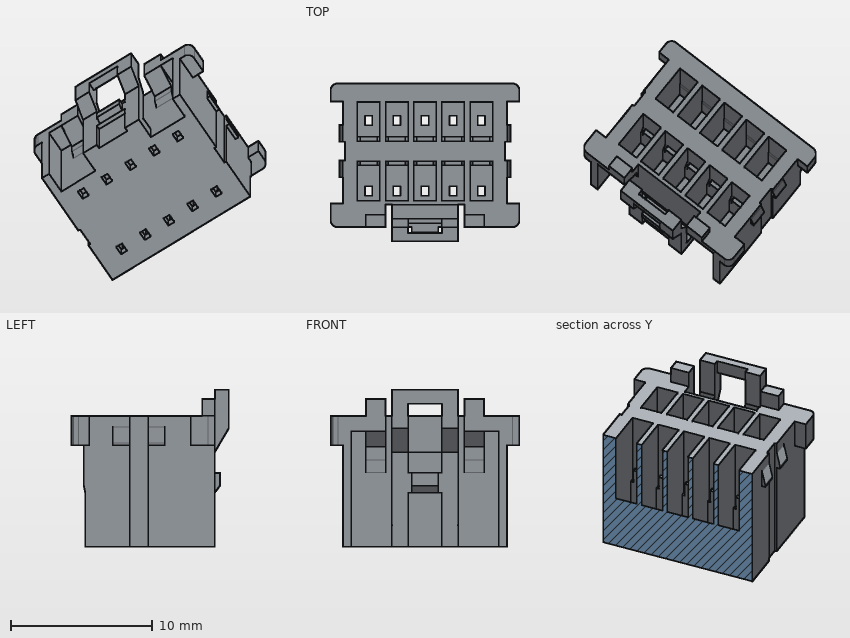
import cadquery as cq


BODY_WIDTH = 11.65
BODY_FRONT = 1.6
BODY_REAR = 9.3
BODY_REAR_LOWER = 9.2
BODY_HEIGHT = 9.3
REAR_TAPER_TOP = 4.35
REAR_TAPER_BOTTOM = 3.85
RECESS_WIDTH = 10.44
SIDE_WALL = (BODY_WIDTH - RECESS_WIDTH) / 2

FLANGE_WIDTH = 13.4
FLANGE_BOTTOM = 7.2
FLANGE_REAR = 10.2
FLANGE_CORNER_RADIUS = 0.5
FRONT_EAR_DEPTH = 1.7
REAR_EAR_DEPTH = 1.3
BRIDGE_BOTTOM = 8.22
LATCH_OPENING = 5.6

GUARD_WIDTH = 1.4
GUARD_DEPTH = 0.9
GUARD_TOP = 10.5
GUSSET_FACE = 1.4
GUSSET_SLOPE_END = 7.11
GUSSET_TAPER_START = 6.2
GUSSET_BOTTOM = 5.3

ARM_WIDTH = 4.7
ARM_THICKNESS = 0.6
ARM_TOP = 11.15
ARM_HEAD_FRONT = -1.0
ARM_BEND_BOTTOM = 6.72
ARM_BEND_TOP = 8.43
FOOT_HEIGHT = 1.55
WINDOW_WIDTH = 2.38
WINDOW_TOP = 10.15
BAR_BACK = -0.4
PANEL_FRONT = 0.3
CATCH_WIDTH = 1.88
CATCH_FRONT = -0.37
CATCH_TOP = 5.26
CATCH_TAPER_START = 4.34
CATCH_BOTTOM = 3.85

GROOVE_FRONT = 4.74
GROOVE_REAR = 6.05
GROOVE_DEPTH = 0.15
WEDGE_LENGTH = 1.2
WEDGE_OUT = 0.25
WEDGE_TOP = 8.52
WEDGE_EDGE_TOP = 7.4

COLUMNS = 5
PITCH = 2.0
COLUMN_CENTERS = [(i - (COLUMNS - 1) / 2) * PITCH for i in range(COLUMNS)]
CAVITY_WIDTH = 1.6
CAVITY_LENGTH = 2.8
CAVITY_FLOOR = 1.0
FRONT_CAVITY_Y = 1.89
REAR_CAVITY_Y = 6.1
REAR_CAVITY_INSET = 0.05
STEP_DEPTH = 0.31
STEP_TOP = 5.0
STEP_LOW = 4.0
TONGUE_WIDTH = 1.2
PIN_WIDTH = 0.5
PIN_LENGTH = 0.65
PIN_ROW_PITCH = 5.0
FRONT_PIN_Y = 2.57
PIN_ROWS = (FRONT_PIN_Y, FRONT_PIN_Y + PIN_ROW_PITCH)


def block(x0, x1, y0, y1, z0, z1):
    """Box between the given limits."""
    return cq.Workplane("XY").box(x1 - x0, y1 - y0, z1 - z0, centered=False).translate((x0, y0, z0))


def centered_block(width, y0, y1, z0, z1):
    """Box of the given width, symmetric about X = 0."""
    return block(-width / 2, width / 2, y0, y1, z0, z1)


def side_profile(points, width, center_x=0):
    """Extrude a (Y, Z) outline along X, symmetric about center_x."""
    plane = cq.Workplane("YZ", origin=(center_x - width / 2, 0, 0))
    return plane.polyline(points).close().extrude(width)


def with_mirror(shape):
    """The shape together with its copy across the YZ plane."""
    return shape.union(shape.mirror("YZ"))


def make_body():
    core = side_profile(
        [
            (BODY_FRONT, 0),
            (BODY_REAR_LOWER, 0),
            (BODY_REAR_LOWER, REAR_TAPER_BOTTOM),
            (BODY_REAR, REAR_TAPER_TOP),
            (BODY_REAR, BODY_HEIGHT),
            (BODY_FRONT, BODY_HEIGHT),
        ],
        BODY_WIDTH,
    )
    wall = block(RECESS_WIDTH / 2, RECESS_WIDTH / 2 + SIDE_WALL, 0, BODY_FRONT, 0, BODY_HEIGHT)
    return core.union(with_mirror(wall))


def make_flange():
    plate = centered_block(FLANGE_WIDTH, 0, FLANGE_REAR, FLANGE_BOTTOM, BODY_HEIGHT)
    plate = plate.edges("|Z").fillet(FLANGE_CORNER_RADIUS)
    side_notch = block(
        BODY_WIDTH / 2, FLANGE_WIDTH / 2,
        FRONT_EAR_DEPTH, FLANGE_REAR - REAR_EAR_DEPTH,
        FLANGE_BOTTOM, BODY_HEIGHT,
    )
    recess = centered_block(RECESS_WIDTH, 0, BODY_FRONT, FLANGE_BOTTOM, BRIDGE_BOTTOM)
    latch_opening = centered_block(LATCH_OPENING, 0, BODY_FRONT, FLANGE_BOTTOM, BODY_HEIGHT)
    return plate.cut(with_mirror(side_notch)).cut(recess).cut(latch_opening)


def make_guards():
    inner = LATCH_OPENING / 2
    post = block(inner, inner + GUARD_WIDTH, 0, GUARD_DEPTH, BRIDGE_BOTTOM, GUARD_TOP)
    gusset = side_profile(
        [
            (0, BRIDGE_BOTTOM),
            (GUSSET_FACE, GUSSET_SLOPE_END),
            (GUSSET_FACE, GUSSET_TAPER_START),
            (BODY_FRONT, GUSSET_BOTTOM),
            (BODY_FRONT, BRIDGE_BOTTOM),
        ],
        GUARD_WIDTH,
        inner + GUARD_WIDTH / 2,
    )
    return with_mirror(post.union(gusset))


def make_latch():
    arm = side_profile(
        [
            (0, 0),
            (BODY_FRONT, 0),
            (BODY_FRONT, FOOT_HEIGHT),
            (ARM_THICKNESS, FOOT_HEIGHT),
            (ARM_THICKNESS, ARM_BEND_BOTTOM),
            (0, ARM_BEND_TOP),
            (0, ARM_TOP),
            (ARM_HEAD_FRONT, ARM_TOP),
            (ARM_HEAD_FRONT, ARM_BEND_TOP),
            (0, ARM_BEND_BOTTOM),
        ],
        ARM_WIDTH,
    )
    window = centered_block(WINDOW_WIDTH, ARM_HEAD_FRONT, ARM_THICKNESS, ARM_BEND_BOTTOM, WINDOW_TOP)
    bar_relief = centered_block(WINDOW_WIDTH, BAR_BACK, 0, WINDOW_TOP, ARM_TOP)
    upper_panel = centered_block(WINDOW_WIDTH, 0, PANEL_FRONT, CATCH_TOP, ARM_BEND_BOTTOM)
    lower_panel = centered_block(WINDOW_WIDTH, 0, PANEL_FRONT, 0, CATCH_BOTTOM)
    catch = side_profile(
        [
            (PANEL_FRONT, CATCH_TOP),
            (CATCH_FRONT, CATCH_TOP),
            (CATCH_FRONT, CATCH_TAPER_START),
            (0, CATCH_BOTTOM),
            (PANEL_FRONT, CATCH_BOTTOM),
        ],
        CATCH_WIDTH,
    )
    return arm.cut(window).cut(bar_relief).cut(upper_panel).cut(lower_panel).union(catch)


def make_side_wedges():
    face = BODY_WIDTH / 2
    root = face - GROOVE_DEPTH
    outline = [
        (root, FLANGE_BOTTOM),
        (face + WEDGE_OUT, FLANGE_BOTTOM),
        (face + WEDGE_OUT, WEDGE_EDGE_TOP),
        (face, WEDGE_TOP),
        (root, WEDGE_TOP),
    ]
    wedges = cq.Workplane("XY")
    for rear_y in (GROOVE_FRONT, GROOVE_REAR + WEDGE_LENGTH):
        plane = cq.Workplane("XZ", origin=(0, rear_y, 0))
        wedges = wedges.union(plane.polyline(outline).close().extrude(WEDGE_LENGTH))
    return with_mirror(wedges)


def make_side_grooves():
    face = BODY_WIDTH / 2
    return with_mirror(block(face - GROOVE_DEPTH, face, GROOVE_FRONT, GROOVE_REAR, 0, BODY_HEIGHT))


def make_front_cavity(x):
    """Front-row cavity: a flat-topped tongue between two ramps on its rear wall."""
    rear = FRONT_CAVITY_Y + CAVITY_LENGTH
    cavity = side_profile(
        [
            (FRONT_CAVITY_Y, CAVITY_FLOOR),
            (rear - STEP_DEPTH, CAVITY_FLOOR),
            (rear - STEP_DEPTH, STEP_LOW),
            (rear, STEP_TOP),
            (rear, BODY_HEIGHT),
            (FRONT_CAVITY_Y, BODY_HEIGHT),
        ],
        CAVITY_WIDTH,
        x,
    )
    half_tongue = TONGUE_WIDTH / 2
    return cavity.cut(block(x - half_tongue, x + half_tongue, rear - STEP_DEPTH, rear, STEP_LOW, STEP_TOP))


def make_rear_cavity(x):
    """Rear-row cavity: a tongue raised above a ledge on its front wall, and a tapered rear wall."""
    rear = REAR_CAVITY_Y + CAVITY_LENGTH
    ledge_edge = REAR_CAVITY_Y + STEP_DEPTH
    cavity = side_profile(
        [
            (ledge_edge, CAVITY_FLOOR),
            (rear - REAR_CAVITY_INSET, CAVITY_FLOOR),
            (rear - REAR_CAVITY_INSET, REAR_TAPER_BOTTOM),
            (rear, REAR_TAPER_TOP),
            (rear, BODY_HEIGHT),
            (REAR_CAVITY_Y, BODY_HEIGHT),
            (REAR_CAVITY_Y, STEP_LOW),
            (ledge_edge, STEP_LOW),
        ],
        CAVITY_WIDTH,
        x,
    )
    half_tongue = TONGUE_WIDTH / 2
    return cavity.cut(block(x - half_tongue, x + half_tongue, REAR_CAVITY_Y, ledge_edge, STEP_LOW, STEP_TOP))


def make_pin_hole(x, y):
    half_width = PIN_WIDTH / 2
    half_length = PIN_LENGTH / 2
    return block(x - half_width, x + half_width, y - half_length, y + half_length, 0, CAVITY_FLOOR)


housing = make_body().union(make_flange()).union(make_guards())
housing = housing.cut(make_side_grooves())
housing = housing.union(make_side_wedges()).union(make_latch())
for column_x in COLUMN_CENTERS:
    housing = housing.cut(make_front_cavity(column_x)).cut(make_rear_cavity(column_x))
    for pin_y in PIN_ROWS:
        housing = housing.cut(make_pin_hole(column_x, pin_y))

result = housing